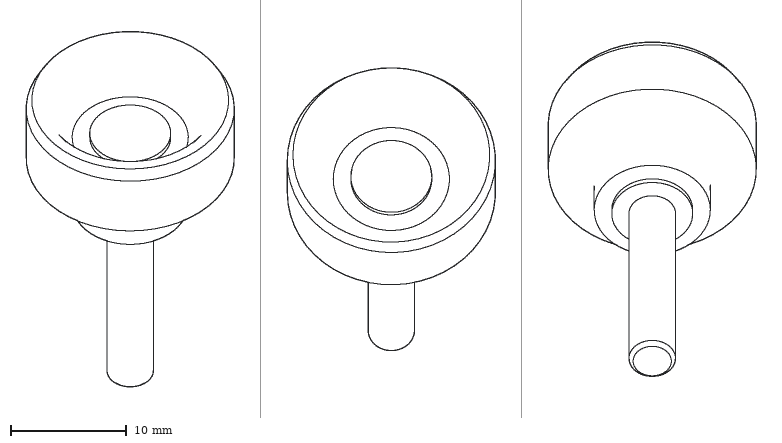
import cadquery as cq

total_height = 33.0

knob_diameter = 18.0
knob_radius = knob_diameter / 2
rim_chamfer_width = 0.5
rim_chamfer_height = 1.0
skirt_bottom_depth = 7.0
neck_radius = 5.0
cone_bottom_depth = 8.6
neck_bottom_depth = 12.5
blend_radius = 0.5

dish_top_radius = 7.5
dish_floor_radius = neck_radius
dish_depth = 4.5

hub_step = 0.5
hub_radius = 3.5
hub_top_depth = dish_depth - hub_step
hub_bottom_depth = neck_bottom_depth + hub_step
shank_radius = 2.0
tip_chamfer = 0.35


def make_knob():
    """Revolve the dished knob, round its rim and neck, and bore it for the stud's hub."""
    profile = [
        (0, -dish_depth),
        (dish_floor_radius, -dish_depth),
        (dish_top_radius, 0),
        (knob_radius - rim_chamfer_width, 0),
        (knob_radius, -rim_chamfer_height),
        (knob_radius, -skirt_bottom_depth),
        (neck_radius, -cone_bottom_depth),
        (neck_radius, -neck_bottom_depth),
        (0, -neck_bottom_depth),
    ]
    body = cq.Workplane("XZ").polyline(profile).close().revolve(360, (0, 0), (0, 1))
    dish_rim = cq.selectors.RadiusNthSelector(0)
    body = body.faces(">Z").edges(dish_rim).fillet(blend_radius)
    neck_corner = cq.selectors.BoxSelector(
        (-knob_radius, -knob_radius, -cone_bottom_depth - blend_radius),
        (knob_radius, knob_radius, -cone_bottom_depth + blend_radius),
    )
    body = body.edges(neck_corner).fillet(blend_radius)
    bore = (
        cq.Workplane("XY")
        .workplane(offset=-neck_bottom_depth)
        .circle(hub_radius)
        .extrude(neck_bottom_depth - dish_depth)
    )
    return body.cut(bore)


def make_stud():
    """Build the wide hub and the long shank with its chamfered tip."""
    hub = (
        cq.Workplane("XY")
        .workplane(offset=-hub_bottom_depth)
        .circle(hub_radius)
        .extrude(hub_bottom_depth - hub_top_depth)
    )
    shank = (
        cq.Workplane("XY")
        .workplane(offset=-total_height)
        .circle(shank_radius)
        .extrude(total_height - hub_bottom_depth)
        .faces("<Z")
        .chamfer(tip_chamfer)
    )
    return hub.union(shank)


knob = make_knob()
stud = make_stud()

result = cq.Compound.makeCompound([knob.solids().val(), stud.solids().val()])